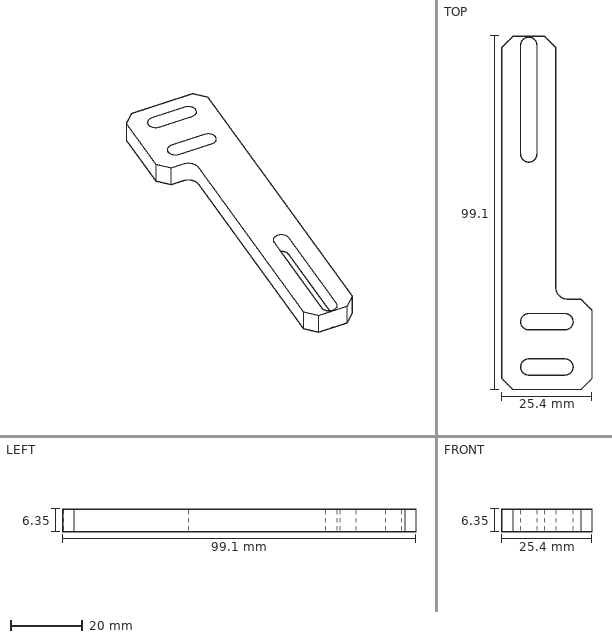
import cadquery as cq

INCH = 25.4

thickness = 0.25 * INCH
foot_size = 1.0 * INCH
arm_width = 0.6 * INCH
total_length = 3.9 * INCH
corner_chamfer = 0.125 * INCH
inner_fillet = 0.125 * INCH

slot_width = 4.5
foot_slot_travel = 0.4 * INCH
foot_slot_heights = (foot_size / 4, foot_size * 3 / 4)
arm_slot_travel = 1.2 * INCH
arm_slot_end_offset = 0.1 * INCH


def make_plate():
    """L-shaped plate: square foot with a narrower arm along its left side."""
    foot = cq.Workplane("XY").box(foot_size, foot_size, thickness, centered=False)
    arm = cq.Workplane("XY").box(arm_width, total_length, thickness, centered=False)
    plate = foot.union(arm).clean()

    inner_corner = cq.selectors.NearestToPointSelector((arm_width, foot_size, thickness / 2))
    plate = plate.edges("|Z").edges(inner_corner).fillet(inner_fillet)

    outer_corners = [
        (0, 0),
        (foot_size, 0),
        (foot_size, foot_size),
        (arm_width, total_length),
        (0, total_length),
    ]
    for x, y in outer_corners:
        corner = cq.selectors.NearestToPointSelector((x, y, thickness / 2))
        plate = plate.edges("|Z").edges(corner).chamfer(corner_chamfer)
    return plate


def make_slot(center_x, center_y, travel, angle):
    """Cutter for a round-ended through slot; angle is measured from +X."""
    return (
        cq.Workplane("XY")
        .center(center_x, center_y)
        .slot2D(travel + slot_width, slot_width, angle)
        .extrude(thickness)
    )


result = make_plate()

for slot_y in foot_slot_heights:
    result = result.cut(make_slot(foot_size / 2, slot_y, foot_slot_travel, 0))

arm_slot_y = total_length - arm_slot_end_offset - arm_slot_travel / 2
result = result.cut(make_slot(arm_width / 2, arm_slot_y, arm_slot_travel, 90))